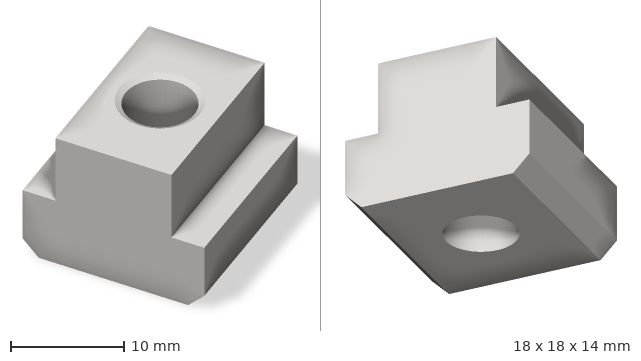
import cadquery as cq

width = 18.0
length = 18.0
height = 14.0
flange_height = 7.0
neck_width = 11.5
bottom_chamfer = 1.6
hole_diameter = 6.8
countersink_diameter = 8.0
countersink_angle = 120.0


def make_block(block_width, block_height):
    """Full-length block centred on the Z axis, standing on Z = 0."""
    return cq.Workplane("XY").box(block_width, length, block_height, centered=(True, True, False))


flange = make_block(width, flange_height).edges("|Y and <Z").chamfer(bottom_chamfer)
body = flange.union(make_block(neck_width, height))

result = body.faces(">Z").workplane(origin=(0, 0, height)).cskHole(
    hole_diameter, countersink_diameter, countersink_angle
)